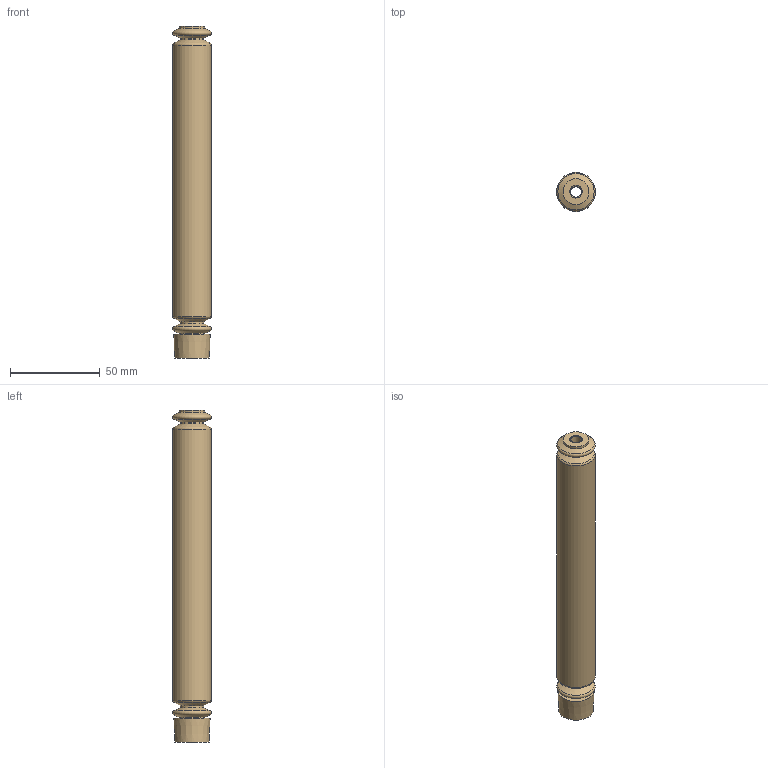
import cadquery as cq
import math

total_height = 184.67
max_radius = 21.5 / 2

bore_radius = 6.0 / 2
bore_mouth_radius = 7.0 / 2
bore_mouth_depth = 0.25

foot_height = 13.2
foot_bottom_radius = 9.6
foot_top_radius = 10.1

edge_round_radius = 1.25
edge_round_center_radius = max_radius - edge_round_radius
cone_slope = math.radians(27)
tangent_angle = math.pi / 2 - cone_slope

lower_bead_z = 16.25
upper_bead_z = total_height - 3.95
collar_radius = 14.4 / 2
neck_radius = 6.5

body_bottom_z = 23.2
body_top_z = total_height - 10.65


def round_point(center_z, angle):
    """Point on an edge round of a bead or shoulder, angle measured up from horizontal."""
    return (
        edge_round_center_radius + edge_round_radius * math.cos(angle),
        center_z + edge_round_radius * math.sin(angle),
    )


def slope_end(center_z, radius, side):
    """Height at which the cone tangent to a round reaches the given radius."""
    tangent_radius, tangent_z = round_point(center_z, side * tangent_angle)
    return tangent_z + side * (tangent_radius - radius) * math.tan(cone_slope)


def add_bead(profile, center_z, lower_radius, upper_radius):
    """Draw a bead upward: cone, round rim, cone."""
    return (
        profile.lineTo(lower_radius, slope_end(center_z, lower_radius, -1))
        .lineTo(*round_point(center_z, -tangent_angle))
        .threePointArc((max_radius, center_z), round_point(center_z, tangent_angle))
        .lineTo(upper_radius, slope_end(center_z, upper_radius, 1))
    )


def add_body(profile):
    """Draw the body upward: cone, round, straight side, round, cone."""
    return (
        profile.lineTo(neck_radius, slope_end(body_bottom_z, neck_radius, -1))
        .lineTo(*round_point(body_bottom_z, -tangent_angle))
        .threePointArc(round_point(body_bottom_z, -tangent_angle / 2), (max_radius, body_bottom_z))
        .lineTo(max_radius, body_top_z)
        .threePointArc(round_point(body_top_z, tangent_angle / 2), round_point(body_top_z, tangent_angle))
        .lineTo(neck_radius, slope_end(body_top_z, neck_radius, 1))
    )


def make_post():
    """Revolve half of the cross-section about the Z axis."""
    profile = (
        cq.Workplane("XZ")
        .moveTo(bore_radius, 0)
        .lineTo(foot_bottom_radius, 0)
        .lineTo(foot_top_radius, foot_height)
        .lineTo(collar_radius, foot_height)
    )
    profile = add_bead(profile, lower_bead_z, collar_radius, neck_radius)
    profile = add_body(profile)
    profile = add_bead(profile, upper_bead_z, neck_radius, collar_radius)
    profile = (
        profile.lineTo(collar_radius, total_height)
        .lineTo(bore_mouth_radius, total_height)
        .lineTo(bore_radius, total_height - bore_mouth_depth)
        .close()
    )
    return profile.revolve(360, (0, 0, 0), (0, 1, 0))


result = make_post()